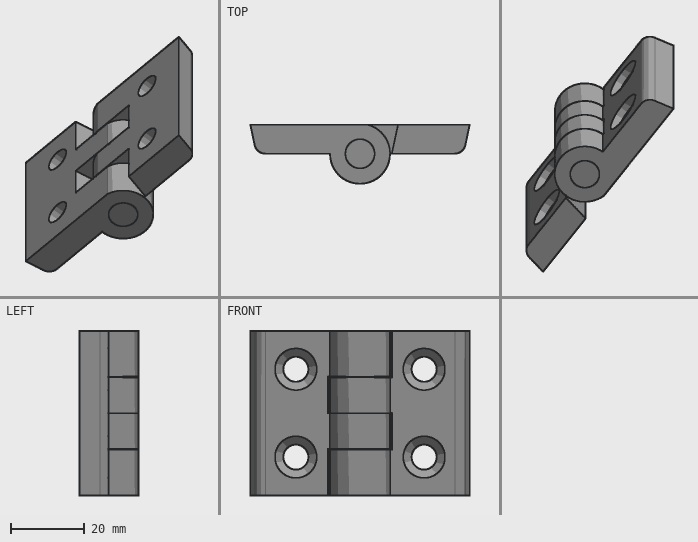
import cadquery as cq
import math

hinge_width = 60.0
hinge_height = 45.0
leaf_thickness = 8.0

edge_draft_angle = 12.0
corner_radius = 3.0
inner_edge_front_x = 8.7

barrel_radius = 8.2
pin_diameter = 8.0
end_knuckle_height = 12.55
knuckle_gap = 0.2

hole_offset_x = 17.5
hole_spacing_z = 24.0
hole_diameter = 6.8
countersink_diameter = 11.4
head_recess_depth = 2.4
cone_depth = 2.05

front_y = 0.0
back_y = leaf_thickness
half_width = hinge_width / 2
half_height = hinge_height / 2
draft_run = leaf_thickness * math.tan(math.radians(edge_draft_angle))
end_knuckle_bottom = half_height - end_knuckle_height
middle_knuckle_bottom = knuckle_gap - end_knuckle_bottom


def prism(profile, bottom, top):
    """Extrude a plan-view outline made by profile() between two heights."""
    return profile(cq.Workplane("XY", origin=(0, 0, bottom))).extrude(top - bottom)


def plate_outline(plane):
    """Plate of the left leaf, with its drafted outer and inner edges."""
    return plane.polyline([
        (-half_width, back_y),
        (-half_width + draft_run, front_y),
        (-inner_edge_front_x, front_y),
        (-inner_edge_front_x - draft_run, back_y),
    ]).close()


def make_plate():
    plate = prism(plate_outline, -half_height, half_height)
    outer_front_edge = cq.selectors.NearestToPointSelector((-half_width + draft_run, front_y, 0))
    return plate.edges(outer_front_edge).fillet(corner_radius)


def make_knuckle(bottom, top):
    """Barrel section with its web to the plate, cut flat at the leaf's back face."""
    web_length = inner_edge_front_x + draft_run
    web = prism(
        lambda plane: plane.moveTo(-web_length / 2, leaf_thickness / 2).rect(web_length, leaf_thickness),
        bottom, top,
    )
    barrel = prism(lambda plane: plane.circle(barrel_radius), bottom, top)
    in_front_of_back = prism(
        lambda plane: plane.moveTo(0, back_y - hinge_width / 2).rect(hinge_width, hinge_width),
        bottom, top,
    )
    return web.union(barrel.intersect(in_front_of_back))


def make_screw_hole(z):
    """Cutter: cylindrical head recess at the front, then a cone, then the through hole."""
    head_radius = countersink_diameter / 2
    hole_radius = hole_diameter / 2
    cone_end = head_recess_depth + cone_depth
    half_section = cq.Workplane("XY").polyline([
        (0, front_y),
        (head_radius, front_y),
        (head_radius, head_recess_depth),
        (hole_radius, cone_end),
        (hole_radius, back_y),
        (0, back_y),
    ]).close()
    cutter = half_section.revolve(360, (0, 0, 0), (0, 1, 0))
    return cutter.translate((-hole_offset_x, 0, z))


def make_leaf():
    """Left leaf; its lower knuckle starts at mid height and goes down."""
    leaf = make_plate()
    for bottom, top in [(end_knuckle_bottom, half_height), (middle_knuckle_bottom, 0)]:
        leaf = leaf.union(make_knuckle(bottom, top))
    for z in (-hole_spacing_z / 2, hole_spacing_z / 2):
        leaf = leaf.cut(make_screw_hole(z))
    pin_bore = prism(lambda plane: plane.circle(pin_diameter / 2), -half_height, half_height)
    return leaf.cut(pin_bore)


def make_pin():
    return prism(lambda plane: plane.circle(pin_diameter / 2), -half_height, half_height)


leaves = [make_leaf().rotate((0, 0, 0), (0, 1, 0), turn) for turn in (0, 180)]
pin = make_pin()

result = cq.Compound.makeCompound([*[leaf.val() for leaf in leaves], pin.val()])